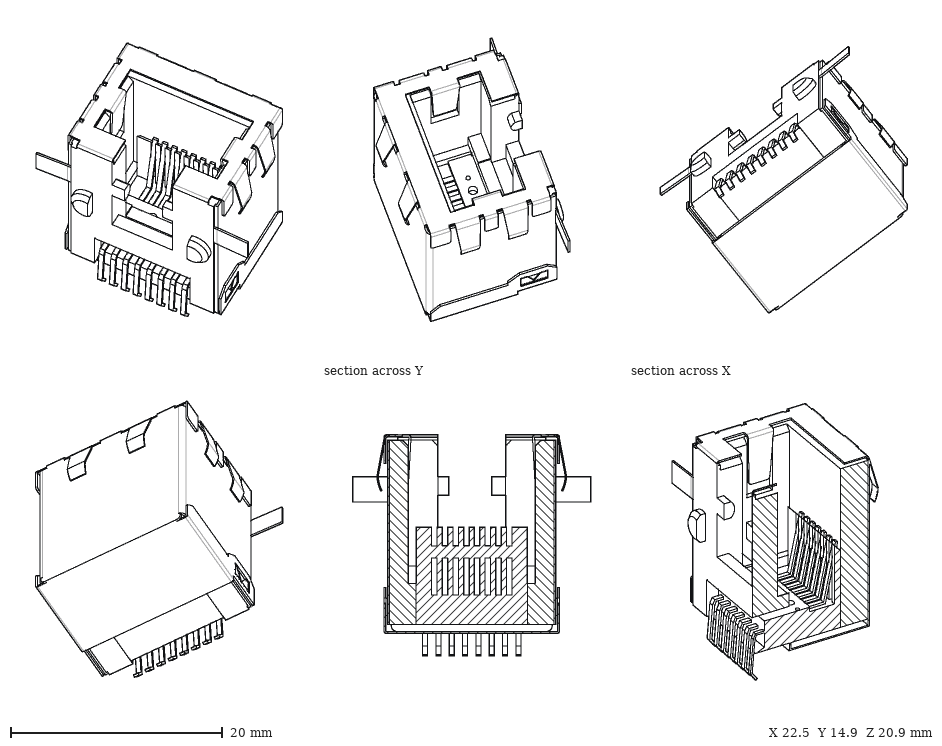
import cadquery as cq
import math


SHEET = 0.2
WALL_HALF = 7.95
FRONT_Y = -6.48
BACK_Y = 6.5
TOTAL_HEIGHT = 20.9
TOP_Z = TOTAL_HEIGHT / 2
WALL_TOP = 9.95
WALL_BOTTOM = -7.5
REAR_CORNER = 0.55
PANEL_HALF = 7.6
PANEL_STEP = 0.18
WALL_FRONT = FRONT_Y + PANEL_STEP
HOUSING_FRONT = WALL_FRONT + SHEET
BEND = 0.25

OPENING_HALF = 3.2
STOP_TIPS = (-1.87, 2.15)
STOP_TOP = 6.48
STOP_BOTTOM = 4.72
STOP_FLAT = 0.75
STOP_BULGE = 0.4

NOTCH_HALF = 5.06
NOTCH_TOP = -3.46
NOTCH_BACK = -5.15

CAP_HALF = 8.3
LIP_HALF = 7.0
CORNER_NOTCH_Y = -5.75
TAB_BOTTOM = 7.72
TAB_CORNER = 0.3
SIDE_TABS = [(4.32, 6.3), (-0.45, 0.9), (-5.72, -3.85)]
SLOT_DEPTH = 0.55
WINDOW_HALF = 6.55
WINDOW_BACK = 3.71
WINDOW_FRONT = -3.78
TONGUE_BACK = 1.33
TONGUE_FRONT = -1.48
TONGUE_ROOT_X = 5.74
TONGUE_BEND = 0.32
TONGUE_TIP_X = 6.03
TONGUE_BOTTOM = 4.84
TONGUE_TAPER = 0.27
REAR_TAB_HALF = 1.15
REAR_SLOT_END = 5.06

FINGER_ROOT = 2.48
FINGER_TIP = 1.69
FINGER_SHEET = 0.14
FINGER_BOTTOM = 5.1
FINGER_BEND_END = 10.04
FINGER_BELLY = 6.6
FINGER_CURL = 0.35
SIDE_FINGERS = [2.55, -2.23]
SIDE_REACH = 0.65
REAR_FINGER_X = 3.22
REAR_REACH = 7.47 - BACK_Y

COVER_BOTTOM = -8.32
COVER_FRONT = -2.38
COVER_CORNER = 0.5
MARK_BACK = -2.7
MARK_FRONT = -5.4
MARK_TOP = -5.0
MARK_BOTTOM = -6.64
MARK_ENGRAVING = 0.1
TRIANGLE_HALF = 0.76
TRIANGLE_HEIGHT = 1.4
WING_TOP = -5.5
WING_REAR_BEVEL = 0.95
WING_STEP_Y = -1.42
WING_STEP_TOP = -5.0
WING_PEAK = -3.98
WING_PEAK_BACK = -2.59
WING_PEAK_FRONT = -5.35

LEG_TOP = 6.48
LEG_BOTTOM = 4.07
LEG_REACH = 11.25
LEG_ROOT_Y = -6.28
LEG_TIP_Y = -6.4
PEG_RADIUS = 1.58
PEG_X = 5.74
PEG_Z = 2.2
PEG_FLAT_X = 5.29
PEG_TIP_Y = -7.47
PEG_CHAMFER = 0.45

CAVITY_HALF = 5.98
CAVITY_BACK = 3.25
CAVITY_FRONT = -3.67
LEDGE_Z = -1.95
SIDE_LEDGE_Z = -3.6
LEAD_IN_WIDTH = 0.56
LEAD_IN_DEPTH = 0.56
SILL_BACK = -5.18
LATCH_FLOOR = -2.18
LATCH_GROOVE_FLOOR = -2.92
TONGUE_RELIEF_BOTTOM = 3.55

INSERT_HALF = 5.25
INSERT_FRONT = COVER_FRONT
DECK_Z = -4.18
WELL_Z = -4.68
WELL_FRONT = -0.1
COMB_TOP = 1.73
COMB_FRONT = 2.59
COMB_DROP = 0.72
RAMP_TOP = -7.06
RAMP_FRONT = HOUSING_FRONT
CONTACTS = 8
CONTACT_PITCH = 1.01
CONTACT_WIDTH = 0.5
CONTACT_SHEET = 0.25
WIRE_BEND_Y = 1.78
TAIL_PITCH = 1.25
TAIL_LINE = [
    (NOTCH_BACK + CONTACT_SHEET, -5.4),
    (-6.05, -5.4),
    (-6.25, -5.85),
    (-6.57, -9.55),
    (-5.96, -10.37),
]
HOLE_Y = -1.33
INSERT_HOLES = [(1.6, 0.43), (2.97, 0.2)]
HOLE_DEPTH = 0.9


def block(x0, x1, y0, y1, z0, z1):
    """Box between two opposite corners."""
    return cq.Workplane("XY").box(x1 - x0, y1 - y0, z1 - z0, centered=False).translate((x0, y0, z0))


def centred(half, y0, y1, z0, z1):
    """Box that is symmetric about the YZ plane."""
    return block(-half, half, y0, y1, z0, z1)


def both_sides(part):
    """The part together with its mirror image across the YZ plane."""
    return part.union(part.mirror("YZ"))


def band(points, thickness):
    """Closed outline of a bent strip with the given centre line."""
    normals = []
    for (a0, b0), (a1, b1) in zip(points, points[1:]):
        length = math.hypot(a1 - a0, b1 - b0)
        normals.append(((b0 - b1) / length, (a1 - a0) / length))
    left = []
    right = []
    for i, (a, b) in enumerate(points):
        n0 = normals[max(i - 1, 0)]
        n1 = normals[min(i, len(normals) - 1)]
        reach = thickness / 2 / (1 + n0[0] * n1[0] + n0[1] * n1[1])
        da = (n0[0] + n1[0]) * reach
        db = (n0[1] + n1[1]) * reach
        left.append((a + da, b + db))
        right.append((a - da, b - db))
    return left + right[::-1]


def rows(count, pitch):
    """Evenly spaced positions about zero."""
    return [(i - (count - 1) / 2) * pitch for i in range(count)]


def walls():
    """Rear and side walls whose front edges turn inwards beside the front panel."""
    depth = BACK_Y - WALL_FRONT
    height = WALL_TOP - WALL_BOTTOM
    middle = (BACK_Y + WALL_FRONT) / 2
    outer = cq.Workplane("XY").box(2 * WALL_HALF, depth, height, centered=(True, True, False))
    outer = outer.edges("|Z and >Y").fillet(REAR_CORNER)
    inner = cq.Workplane("XY").box(
        2 * (WALL_HALF - SHEET), depth - 2 * SHEET, height, centered=(True, True, False)
    )
    inner = inner.edges("|Z and >Y").fillet(REAR_CORNER - SHEET)
    tube = outer.cut(inner).translate((0, middle, WALL_BOTTOM))
    return tube.cut(centred(PANEL_HALF, WALL_FRONT, HOUSING_FRONT, WALL_BOTTOM, WALL_TOP))


def cap():
    outer = centred(CAP_HALF, FRONT_Y, BACK_Y, TAB_BOTTOM, TOP_Z)
    outer = outer.faces(">Z").edges().fillet(BEND)
    inner = centred(
        CAP_HALF - SHEET, FRONT_Y + SHEET, BACK_Y - SHEET, TAB_BOTTOM, TOP_Z - SHEET
    )
    body = outer.cut(inner)

    side = block(CAP_HALF - SLOT_DEPTH, CAP_HALF, FRONT_Y, BACK_Y, TAB_BOTTOM, TOP_Z)
    for y0, y1 in SIDE_TABS:
        tab = block(CAP_HALF - SLOT_DEPTH, CAP_HALF, y0, y1, TAB_BOTTOM, TOP_Z)
        side = side.cut(tab.edges("|X and <Z").fillet(TAB_CORNER))
    body = body.cut(both_sides(side))

    body = body.cut(centred(CAP_HALF - SHEET, FRONT_Y, FRONT_Y + SHEET, TAB_BOTTOM, TOP_Z - BEND))
    front_notch = block(LIP_HALF, CAP_HALF, FRONT_Y, CORNER_NOTCH_Y, TAB_BOTTOM, TOP_Z)
    rear_notch = block(LIP_HALF, CAP_HALF - SHEET, BACK_Y - BEND, BACK_Y, TAB_BOTTOM, TOP_Z)
    body = body.cut(both_sides(front_notch)).cut(both_sides(rear_notch))
    rear_slot = block(REAR_TAB_HALF, REAR_SLOT_END, BACK_Y - BEND, BACK_Y, WALL_TOP, TOP_Z)
    body = body.cut(both_sides(rear_slot))

    window = centred(WINDOW_HALF, WINDOW_FRONT, WINDOW_BACK, WALL_TOP, TOP_Z)
    opening = centred(OPENING_HALF, FRONT_Y, WINDOW_FRONT, WALL_TOP, TOP_Z)
    return body.cut(window).cut(opening)


def guide_tongues():
    """Cap strips that fold down into the plug cavity and lean away from the plug."""
    root = WINDOW_HALF + SHEET
    width = TONGUE_BACK - TONGUE_FRONT
    middle = (TONGUE_BACK + TONGUE_FRONT) / 2
    profile = (
        cq.Workplane("XZ", origin=(0, TONGUE_BACK, 0))
        .moveTo(root, TOP_Z)
        .lineTo(TONGUE_ROOT_X + TONGUE_BEND, TOP_Z)
        .radiusArc((TONGUE_ROOT_X, TOP_Z - TONGUE_BEND), -TONGUE_BEND)
        .lineTo(TONGUE_TIP_X, TONGUE_BOTTOM)
        .lineTo(TONGUE_TIP_X + SHEET, TONGUE_BOTTOM)
        .lineTo(TONGUE_ROOT_X + SHEET, TOP_Z - SHEET)
        .lineTo(root, TOP_Z - SHEET)
        .close()
        .extrude(width)
    )
    taper = (
        cq.Workplane("YZ", origin=(0, middle, 0))
        .polyline([
            (-width / 2, TOP_Z),
            (width / 2, TOP_Z),
            (width / 2 - TONGUE_TAPER, TONGUE_BOTTOM),
            (TONGUE_TAPER - width / 2, TONGUE_BOTTOM),
        ])
        .close()
        .extrude(root)
        .edges("|X and <Z")
        .fillet(TAB_CORNER)
    )
    return both_sides(profile.intersect(taper))


def finger(reach):
    """Spring finger that leaves a cap edge at the YZ plane and bows out along +X."""
    tip = reach - FINGER_CURL
    drop = FINGER_BELLY - FINGER_BOTTOM
    radius = (drop**2 + FINGER_CURL**2) / (2 * FINGER_CURL)
    inner_scale = 1 - FINGER_SHEET / radius
    inner_tip = (reach - radius + (radius - FINGER_CURL) * inner_scale, FINGER_BELLY - drop * inner_scale)
    inner_top = TOP_Z - FINGER_SHEET
    strip = (
        cq.Workplane("XZ")
        .moveTo(-SLOT_DEPTH - SHEET, TOP_Z)
        .lineTo(-SLOT_DEPTH, TOP_Z)
        .threePointArc((-0.3 * SLOT_DEPTH, TOP_Z - FINGER_SHEET), (0, FINGER_BEND_END))
        .lineTo(reach, FINGER_BELLY)
        .radiusArc((tip, FINGER_BOTTOM), radius)
        .lineTo(*inner_tip)
        .radiusArc((reach - FINGER_SHEET, FINGER_BELLY), FINGER_SHEET - radius)
        .lineTo(-FINGER_SHEET, FINGER_BEND_END)
        .threePointArc((-0.5 * SLOT_DEPTH, inner_top - FINGER_SHEET), (-SLOT_DEPTH, inner_top))
        .lineTo(-SLOT_DEPTH - SHEET, inner_top)
        .close()
        .extrude(FINGER_ROOT / 2, both=True)
    )
    taper = (
        cq.Workplane("YZ")
        .polyline([
            (-FINGER_ROOT / 2, TOP_Z),
            (FINGER_ROOT / 2, TOP_Z),
            (FINGER_TIP / 2, FINGER_BOTTOM),
            (-FINGER_TIP / 2, FINGER_BOTTOM),
        ])
        .close()
        .extrude(2 * CAP_HALF, both=True)
    )
    return strip.intersect(taper)


def fingers():
    side = finger(SIDE_REACH)
    rear = finger(REAR_REACH).rotate((0, 0, 0), (0, 0, 1), 90)
    group = both_sides(rear.translate((REAR_FINGER_X, BACK_Y, 0)))
    for y in SIDE_FINGERS:
        group = group.union(both_sides(side.translate((CAP_HALF, y, 0))))
    return group


def wing_mark():
    """Pressed-in rectangle with an engraved triangle that bears on the wall."""
    face = CAP_HALF - SHEET / 2
    mark = block(WALL_HALF, face, MARK_FRONT, MARK_BACK, MARK_BOTTOM, MARK_TOP)
    middle = (MARK_FRONT + MARK_BACK) / 2
    triangle = (
        cq.Workplane("YZ", origin=(face - MARK_ENGRAVING, 0, 0))
        .polyline([
            (middle - TRIANGLE_HALF, MARK_TOP),
            (middle + TRIANGLE_HALF, MARK_TOP),
            (middle, MARK_TOP - TRIANGLE_HEIGHT),
        ])
        .close()
        .extrude(MARK_ENGRAVING)
    )
    return mark.cut(triangle)


def bottom_cover():
    rear = centred(PANEL_HALF, BACK_Y - SHEET, BACK_Y, COVER_BOTTOM, WALL_BOTTOM)
    rear = rear.edges("|Y and <Z").fillet(COVER_CORNER)
    flange = centred(PANEL_HALF, COVER_FRONT, COVER_FRONT + SHEET, COVER_BOTTOM + SHEET, WALL_BOTTOM)
    flange = flange.edges("|Y and <Z").fillet(COVER_CORNER)
    plate = centred(CAP_HALF, COVER_FRONT, BACK_Y - SHEET, COVER_BOTTOM, COVER_BOTTOM + SHEET)
    wing = (
        cq.Workplane("YZ", origin=(CAP_HALF - SHEET, 0, 0))
        .polyline([
            (BACK_Y - SHEET, COVER_BOTTOM),
            (BACK_Y - SHEET, WING_TOP - WING_REAR_BEVEL),
            (BACK_Y - SHEET - WING_REAR_BEVEL, WING_TOP),
            (WING_STEP_Y, WING_TOP),
            (WING_STEP_Y, WING_STEP_TOP),
            (WING_PEAK_BACK, WING_PEAK),
            (WING_PEAK_FRONT, WING_PEAK),
            (WALL_FRONT, WING_PEAK + WALL_FRONT - WING_PEAK_FRONT),
            (WALL_FRONT, WALL_BOTTOM),
            (COVER_FRONT, WALL_BOTTOM),
            (COVER_FRONT, COVER_BOTTOM),
        ])
        .close()
        .extrude(SHEET)
    )
    wing = wing.cut(block(WALL_HALF, CAP_HALF, MARK_FRONT, MARK_BACK, MARK_BOTTOM, MARK_TOP))
    tray = plate.union(both_sides(wing)).edges("|Y and <Z").fillet(BEND)
    return tray.union(both_sides(wing_mark())).union(rear).union(flange)


def solder_legs():
    leg = (
        cq.Workplane("XY", origin=(0, 0, LEG_BOTTOM))
        .polyline([
            (PANEL_HALF, LEG_ROOT_Y),
            (WALL_HALF, LEG_ROOT_Y),
            (LEG_REACH, LEG_TIP_Y),
            (LEG_REACH, LEG_TIP_Y - SHEET),
            (WALL_HALF, LEG_ROOT_Y - SHEET),
            (PANEL_HALF, LEG_ROOT_Y - SHEET),
        ])
        .close()
        .extrude(LEG_TOP - LEG_BOTTOM)
    )
    return both_sides(leg)


shell = walls().union(cap())
for piece in [guide_tongues(), fingers(), bottom_cover(), solder_legs()]:
    shell = shell.union(piece)


def insert_envelope():
    """Base with its comb wall, and the front foot."""
    base = (
        cq.Workplane("YZ")
        .polyline([
            (INSERT_FRONT, WALL_BOTTOM),
            (INSERT_FRONT, DECK_Z),
            (WELL_FRONT, DECK_Z),
            (WELL_FRONT, WELL_Z),
            (COMB_FRONT, WELL_Z),
            (COMB_FRONT, COMB_TOP),
            (CAVITY_BACK, COMB_TOP - COMB_DROP),
            (CAVITY_BACK, WALL_BOTTOM),
        ])
        .close()
        .extrude(INSERT_HALF, both=True)
    )
    foot = centred(NOTCH_HALF, NOTCH_BACK, INSERT_FRONT, WALL_BOTTOM, DECK_Z)
    return base.union(foot)


def foot_ramp():
    return (
        cq.Workplane("YZ")
        .polyline([(NOTCH_BACK, RAMP_TOP), (RAMP_FRONT, WALL_BOTTOM), (NOTCH_BACK, WALL_BOTTOM)])
        .close()
        .extrude(NOTCH_HALF, both=True)
    )


def comb_slots():
    """Slots through the comb wall for the contact wires."""
    slot = centred(CONTACT_WIDTH / 2, COMB_FRONT, CAVITY_BACK, WELL_Z, COMB_TOP)
    slots = cq.Workplane("XY")
    for x in rows(CONTACTS, CONTACT_PITCH):
        slots = slots.union(slot.translate((x, 0, 0)))
    return slots


def insert_holes():
    holes = cq.Workplane("XY")
    for x, radius in INSERT_HOLES:
        bottom = (x, HOLE_Y, DECK_Z - HOLE_DEPTH)
        hole = cq.Workplane("XY", origin=bottom).circle(radius).extrude(HOLE_DEPTH)
        holes = holes.union(both_sides(hole))
    return holes


def contact_row(line, pitch):
    """One row of bent contact strips with the given centre line in the YZ plane."""
    strip = (
        cq.Workplane("YZ")
        .polyline(band(line, CONTACT_SHEET))
        .close()
        .extrude(CONTACT_WIDTH / 2, both=True)
    )
    row = cq.Workplane("XY")
    for x in rows(CONTACTS, pitch):
        row = row.union(strip.translate((x, 0, 0)))
    return row


wire_z = WELL_Z + CONTACT_SHEET / 2
wire_line = [
    (WELL_FRONT, wire_z),
    (WIRE_BEND_Y, wire_z),
    (CAVITY_BACK - CONTACT_SHEET / 2, COMB_TOP),
]
wires = contact_row(wire_line, CONTACT_PITCH)
tails = contact_row(TAIL_LINE, TAIL_PITCH)

insert = insert_envelope().cut(comb_slots()).cut(insert_holes())
for piece in [foot_ramp(), wires, tails]:
    insert = insert.union(piece)


def housing_block():
    half = WALL_HALF - SHEET
    body = centred(half, HOUSING_FRONT, BACK_Y - SHEET, WALL_BOTTOM, WALL_TOP)
    body = body.edges("|Z and >Y").fillet(REAR_CORNER - SHEET)
    panel = centred(PANEL_HALF, FRONT_Y, HOUSING_FRONT, WALL_BOTTOM, WALL_TOP)
    rim = centred(LIP_HALF, FRONT_Y, FRONT_Y + SHEET, WALL_TOP, TOP_Z - BEND)
    return body.union(panel).union(rim)


def lead_in(half, y_front, y_back):
    """Sloping entry that widens a passage towards the top."""
    return (
        cq.Workplane("XZ", origin=(0, y_back, 0))
        .polyline([
            (-half, WALL_TOP - LEAD_IN_DEPTH),
            (half, WALL_TOP - LEAD_IN_DEPTH),
            (half + LEAD_IN_WIDTH, WALL_TOP),
            (-half - LEAD_IN_WIDTH, WALL_TOP),
        ])
        .close()
        .extrude(y_back - y_front)
    )


def plug_cavity():
    front_part = centred(CAVITY_HALF, CAVITY_FRONT, INSERT_FRONT, LEDGE_Z, WALL_TOP)
    main_part = centred(CAVITY_HALF, INSERT_FRONT, CAVITY_BACK, SIDE_LEDGE_Z, WALL_TOP)
    insert_seat = centred(INSERT_HALF, INSERT_FRONT, CAVITY_BACK, WALL_BOTTOM, SIDE_LEDGE_Z)
    entry = lead_in(CAVITY_HALF, CAVITY_FRONT, CAVITY_BACK)
    return front_part.union(main_part).union(insert_seat).union(entry)


def latch_passage():
    """Front opening with its sill, and the stepped floor behind the sill."""
    opening = centred(OPENING_HALF, FRONT_Y, CAVITY_FRONT, 0, TOP_Z)
    groove = centred(OPENING_HALF, SILL_BACK, CAVITY_FRONT, LATCH_GROOVE_FLOOR, 0)
    floor = centred(OPENING_HALF, CAVITY_FRONT, INSERT_FRONT, LATCH_FLOOR, 0)
    entry = lead_in(OPENING_HALF, HOUSING_FRONT, CAVITY_FRONT)
    return opening.union(groove).union(floor).union(entry)


def contact_notch():
    """Front notch for the tails, and the passage of the foot with a gap above it."""
    notch = centred(NOTCH_HALF, FRONT_Y, NOTCH_BACK, WALL_BOTTOM, NOTCH_TOP)
    return notch.union(centred(NOTCH_HALF, NOTCH_BACK, INSERT_FRONT, WALL_BOTTOM, NOTCH_TOP))


def tongue_relief():
    half = CAVITY_HALF + LEAD_IN_WIDTH
    return centred(half, TONGUE_FRONT, TONGUE_BACK, TONGUE_RELIEF_BOTTOM, WALL_TOP)


def latch_stop(tip):
    """Round-backed stop, flush with the front, from the given tip to the opening wall."""
    root = math.copysign(OPENING_HALF, tip)
    back = FRONT_Y + STOP_FLAT
    return (
        cq.Workplane("YZ", origin=(tip, 0, 0))
        .moveTo(FRONT_Y, STOP_BOTTOM)
        .lineTo(back, STOP_BOTTOM)
        .threePointArc((back + STOP_BULGE, (STOP_TOP + STOP_BOTTOM) / 2), (back, STOP_TOP))
        .lineTo(FRONT_Y, STOP_TOP)
        .close()
        .extrude(root - tip)
    )


def pegs():
    """Half-round locating pegs on the front."""
    peg = (
        cq.Workplane("XZ", origin=(PEG_X, FRONT_Y, PEG_Z))
        .circle(PEG_RADIUS)
        .extrude(FRONT_Y - PEG_TIP_Y)
        .faces("<Y")
        .chamfer(PEG_CHAMFER)
    )
    flat = block(PEG_X - PEG_RADIUS, PEG_FLAT_X, PEG_TIP_Y, FRONT_Y, PEG_Z - PEG_RADIUS, PEG_Z + PEG_RADIUS)
    return both_sides(peg.cut(flat))


housing = housing_block()
for void in [plug_cavity(), latch_passage(), contact_notch(), tongue_relief()]:
    housing = housing.cut(void)
housing = housing.union(pegs())
for stop_tip in STOP_TIPS:
    housing = housing.union(latch_stop(stop_tip))

result = cq.Compound.makeCompound([shell.val(), housing.val(), insert.val()])